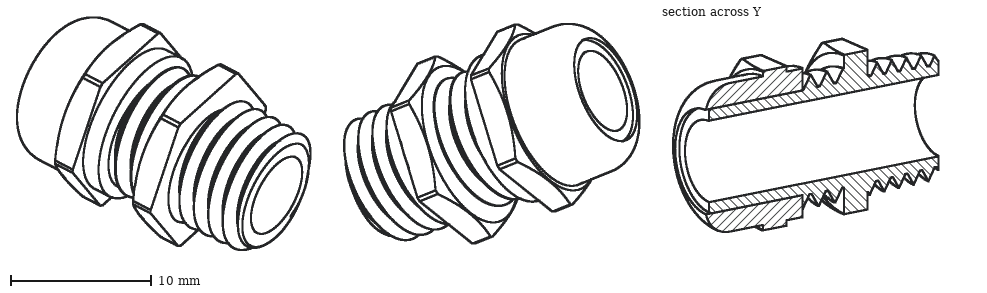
import cadquery as cq
import math

length = 20.07
dome_end = 2.07
cap_hex_start = 4.9
cap_end = 8.35
body_hex_start = 11.88
hex_thickness = 2.07

cap_radius = 5.58
mouth_radius = 3.9
sleeve_end_rounding = 0.2
bore_radius = 3.03
mouth_depth = 0.26

across_flats = 11.95
across_corners = 13.6
hex_face_radius = 5.92
hex_bevel_length = 0.48

root_flat = 0.16
ridge_sink = 0.06
cap_thread = dict(pitch=1.4, root=3.97, crest=4.95, crest_flat=0.08, crest_x=9.03, taper=0.0)
entry_thread = dict(pitch=1.26, root=3.97, crest=4.9, crest_flat=0.02, crest_x=14.75, taper=1 / 32)
entry_end_radius = 4.05
entry_bevel_radius = 4.98
entry_bevel_length = 0.68


def revolve_x(points):
    """Revolve a closed (x, radius) outline about the X axis."""
    return cq.Workplane("XY").polyline(points).close().revolve(360, (0, 0, 0), (1, 0, 0))


def cylinder_x(start, end, radius):
    return cq.Workplane("YZ", origin=(start, 0, 0)).circle(radius).extrude(end - start)


def make_hex(start):
    """Hexagonal flange with trimmed corners and a beveled front face."""
    corner_diameter = across_flats / math.cos(math.pi / 6)
    end = start + hex_thickness
    hexagon = cq.Workplane("YZ", origin=(start, 0, 0)).polygon(6, corner_diameter).extrude(hex_thickness)
    corner_radius = across_corners / 2
    envelope = revolve_x([
        (start, 0),
        (start, hex_face_radius),
        (start + hex_bevel_length, corner_radius),
        (end, corner_radius),
        (end, 0),
    ])
    return hexagon.intersect(envelope)


def make_thread(start, end, pitch, root, crest, crest_flat, crest_x, taper):
    """Threaded rod from start to end; root and crest radii hold at crest_x and shrink along +X by taper."""
    turns_ahead = math.ceil((end - crest_x) / pitch) + 1
    ridge_x = crest_x + turns_ahead * pitch
    ridge_length = ridge_x - start + pitch
    start_shrink = taper * (ridge_x - crest_x)
    root_here = root - start_shrink
    crest_here = crest - start_shrink

    half_root = (pitch - root_flat) / 2
    half_crest = crest_flat / 2
    sunk_root = root_here - ridge_sink
    half_base = half_root + ridge_sink * (half_root - half_crest) / (crest - root)
    profile = (
        cq.Workplane("XZ")
        .polyline([
            (sunk_root, -half_base),
            (crest_here, -half_crest),
            (crest_here, half_crest),
            (sunk_root, half_base),
        ])
        .close()
    )
    helix_angle = math.degrees(math.atan(taper)) if taper else 360.0
    helix = cq.Wire.makeHelix(pitch, ridge_length, root_here, angle=helix_angle)
    ridge = profile.sweep(cq.Workplane(obj=helix), isFrenet=True)
    ridge = ridge.rotate((0, 0, 0), (0, 1, 0), -90).translate((ridge_x, 0, 0))

    core = revolve_x([
        (start, 0),
        (start, root - taper * (start - crest_x)),
        (end, root - taper * (end - crest_x)),
        (end, 0),
    ])
    trim = cylinder_x(start, end, across_flats / 2)
    return core.union(ridge.intersect(trim))


def make_cap():
    """Domed cap nut with its hexagon and a straight mouth around the body's sleeve."""
    dome_drop = cap_radius - mouth_radius
    dome_radius = (dome_end**2 + dome_drop**2) / (2 * dome_drop)
    half_angle = math.asin(dome_end / dome_radius) / 2
    dome_middle = (
        dome_end - dome_radius * math.sin(half_angle),
        cap_radius - dome_radius * (1 - math.cos(half_angle)),
    )
    shell = (
        cq.Workplane("XY")
        .moveTo(0, 0)
        .lineTo(0, mouth_radius)
        .threePointArc(dome_middle, (dome_end, cap_radius))
        .lineTo(cap_end, cap_radius)
        .lineTo(cap_end, 0)
        .close()
        .revolve(360, (0, 0, 0), (1, 0, 0))
    )
    opening = cylinder_x(0, cap_end, mouth_radius)
    return shell.union(make_hex(cap_hex_start)).cut(opening)


def make_body():
    """Hollow gland body: rounded front sleeve, cap thread, hexagon and tapered entry thread."""
    body_hex_end = body_hex_start + hex_thickness
    sleeve = cylinder_x(mouth_depth, cap_end, mouth_radius).faces("<X").edges().fillet(sleeve_end_rounding)
    front_thread = make_thread(cap_end, body_hex_start, **cap_thread)
    end_bevel = revolve_x([
        (body_hex_end, 0),
        (body_hex_end, entry_bevel_radius),
        (length - entry_bevel_length, entry_bevel_radius),
        (length, entry_end_radius),
        (length, 0),
    ])
    rear_thread = make_thread(body_hex_end, length, **entry_thread).intersect(end_bevel)
    bore = cylinder_x(0, length, bore_radius)
    solid = sleeve.union(front_thread).union(make_hex(body_hex_start)).union(rear_thread)
    return solid.cut(bore)


cap = make_cap()
body = make_body()
result = cq.Compound.makeCompound([*cap.solids().vals(), *body.solids().vals()])